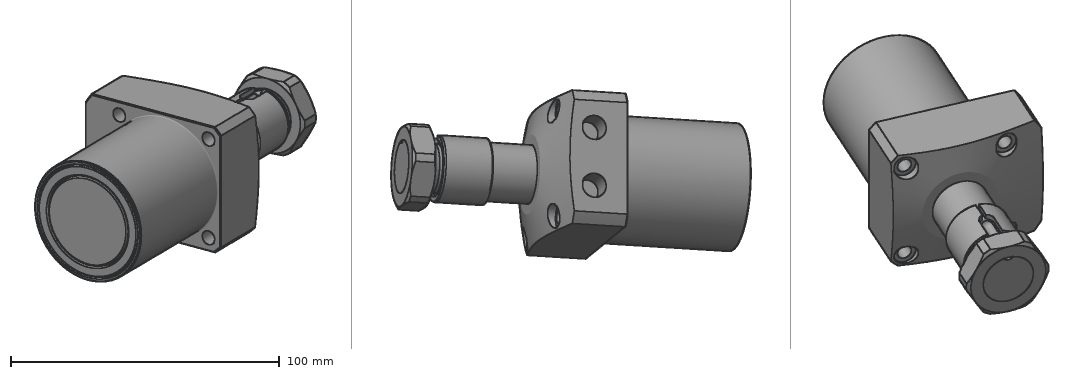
import cadquery as cq
import math


REAR_END = -50.8
FLANGE_TOP = 28.4
SLEEVE_START = 45.7
SLEEVE_END = 64.8
NUT_START = 68.6
NUT_END = REAR_END + 128.5

FLANGE_LEFT = 35.5
FLANGE_RIGHT = 25.6
FLANGE_HEIGHT = 51.0
FLANGE_EDGE_CHAMFER = 0.4
LEFT_CORNER_RADIUS = 41.4
RIGHT_CORNER_CHAMFER = 2.8
TOP_FLAT_RADIUS = 15.0
TOP_CONE_ANGLE = 16.0
BOLT_OFFSET = 20.0
BOLT_HOLE_DIAMETER = 5.5
COUNTERBORE_DIAMETER = 9.0
COUNTERBORE_FLOOR = 22.6
PORT_MOUTH_DIAMETER = 9.1
PORT_INNER_DIAMETER = 8.5
PORT_DEPTH = 10.3
PORT_Y = 13.1
PORT_OFFSET = 11.0

BARREL_DIAMETER = 47.9
BARREL_FILLET = 0.4
BARREL_CHAMFER = 0.4
CAP_RADIUS = 22.2
CAP_THICKNESS = 10.3
CAP_CHAMFER = 0.5
CAP_GROOVE_RADIUS = 17.9
CAP_GROOVE_WIDTH = 1.3
CAP_GROOVE_DEPTH = 0.5

ROD_RADIUS = 11.0
SEAT_RADIUS = 10.5
ROD_CHAMFER = 0.6
SHOULDER_Y = 64.1
NECK_RADIUS = 9.1
NECK_TAPER_START = 65.5
THREAD_RADIUS = 10.0
THREAD_START = 68.1
GROOVE_RADIUS = 2.2
GROOVE_END_Y = 56.2

SLEEVE_RADIUS = 12.6
SLEEVE_CHAMFER_LENGTH = 0.8
SLEEVE_CHAMFER_DEPTH = 0.3
SLEEVE_LIP_LENGTH = 0.4
SLEEVE_LIP_DEPTH = 0.1
SLOT_RADIUS = 3.0
SLOT_END_Y = 55.8
SLIT_WIDTH = 1.3

NUT_ACROSS_FLATS = 30.0
NUT_CORNER_RADIUS = 16.5
NUT_CHAMFER_ANGLE = 30.0
NUT_COUNTERSINK = 0.8


def revolve_about_y(points):
    """Turn a closed (radius, y) outline into a solid about the Y axis."""
    return cq.Workplane("XY").polyline(points).close().revolve(360, (0, 0, 0), (0, 1, 0))


def cylinder_along_y(radius, start, end, x=0.0, z=0.0):
    """Cylinder parallel to Y between two stations."""
    return cq.Workplane(cq.Solid.makeCylinder(radius, end - start, cq.Vector(x, start, z), cq.Vector(0, 1, 0)))


def make_flange():
    """Flange block with a chamfered rear edge, turned left corners and a conical top."""
    half_height = FLANGE_HEIGHT / 2
    width = FLANGE_LEFT + FLANGE_RIGHT
    middle = (FLANGE_RIGHT - FLANGE_LEFT) / 2
    block = cq.Workplane("XY").box(width, FLANGE_TOP, FLANGE_HEIGHT).translate((middle, FLANGE_TOP / 2, 0))
    block = block.edges("|Y and >X").chamfer(RIGHT_CORNER_CHAMFER)
    block = block.intersect(cylinder_along_y(LEFT_CORNER_RADIUS, 0, FLANGE_TOP))
    block = block.faces("<Y").edges().chamfer(FLANGE_EDGE_CHAMFER)
    outer = math.hypot(FLANGE_LEFT, half_height)
    drop = (outer - TOP_FLAT_RADIUS) * math.tan(math.radians(TOP_CONE_ANGLE))
    cone = revolve_about_y([
        (0, 0),
        (outer, 0),
        (outer, FLANGE_TOP - drop),
        (TOP_FLAT_RADIUS, FLANGE_TOP),
        (0, FLANGE_TOP),
    ])
    return block.intersect(cone)


def make_housing():
    """Flange and barrel in one piece, bored for the rod and the end cap."""
    housing = make_flange()
    barrel_radius = BARREL_DIAMETER / 2
    barrel = (
        cq.Workplane("XY")
        .moveTo(0, REAR_END)
        .lineTo(barrel_radius - BARREL_CHAMFER, REAR_END)
        .lineTo(barrel_radius, REAR_END + BARREL_CHAMFER)
        .lineTo(barrel_radius, -BARREL_FILLET)
        .radiusArc((barrel_radius + BARREL_FILLET, 0), BARREL_FILLET)
        .lineTo(0, 0)
        .close()
        .revolve(360, (0, 0, 0), (0, 1, 0))
    )
    housing = housing.union(barrel)
    for x in (-BOLT_OFFSET, BOLT_OFFSET):
        for z in (-BOLT_OFFSET, BOLT_OFFSET):
            housing = housing.cut(cylinder_along_y(BOLT_HOLE_DIAMETER / 2, 0, FLANGE_TOP, x, z))
            housing = housing.cut(
                cylinder_along_y(COUNTERBORE_DIAMETER / 2, COUNTERBORE_FLOOR, FLANGE_TOP, x, z)
            )
    for z in (-PORT_OFFSET, PORT_OFFSET):
        port = cq.Solid.makeCone(
            PORT_MOUTH_DIAMETER / 2,
            PORT_INNER_DIAMETER / 2,
            PORT_DEPTH,
            cq.Vector(-FLANGE_LEFT, PORT_Y, z),
            cq.Vector(1, 0, 0),
        )
        housing = housing.cut(cq.Workplane(port))
    housing = housing.cut(cylinder_along_y(ROD_RADIUS, REAR_END, FLANGE_TOP))
    mouth = CAP_RADIUS + CAP_CHAMFER
    cap_seat = revolve_about_y([
        (0, REAR_END),
        (mouth, REAR_END),
        (CAP_RADIUS, REAR_END + CAP_CHAMFER),
        (CAP_RADIUS, REAR_END + CAP_THICKNESS),
        (0, REAR_END + CAP_THICKNESS),
    ])
    return housing.cut(cap_seat)


def make_end_cap():
    """Round plug closing the barrel, with a V-groove in its outer face."""
    cap = cylinder_along_y(CAP_RADIUS, REAR_END, REAR_END + CAP_THICKNESS)
    cap = cap.faces("<Y").chamfer(CAP_CHAMFER)
    groove = revolve_about_y([
        (CAP_GROOVE_RADIUS - CAP_GROOVE_WIDTH / 2, REAR_END),
        (CAP_GROOVE_RADIUS + CAP_GROOVE_WIDTH / 2, REAR_END),
        (CAP_GROOVE_RADIUS, REAR_END + CAP_GROOVE_DEPTH),
    ])
    return cap.cut(groove)


def make_rod():
    """Rod with a necked end and a ball-ended groove along its top."""
    rod = revolve_about_y([
        (0, REAR_END + CAP_THICKNESS),
        (ROD_RADIUS, REAR_END + CAP_THICKNESS),
        (ROD_RADIUS, SLEEVE_START),
        (SEAT_RADIUS, SLEEVE_START),
        (SEAT_RADIUS, SHOULDER_Y - ROD_CHAMFER),
        (SEAT_RADIUS - ROD_CHAMFER, SHOULDER_Y),
        (NECK_RADIUS, SHOULDER_Y),
        (NECK_RADIUS, NECK_TAPER_START),
        (THREAD_RADIUS, THREAD_START),
        (THREAD_RADIUS, NUT_END),
        (0, NUT_END),
    ])
    groove = cylinder_along_y(GROOVE_RADIUS, GROOVE_END_Y, NUT_END, z=ROD_RADIUS)
    ball_end = cq.Workplane("XY").sphere(GROOVE_RADIUS).translate((0, GROOVE_END_Y, ROD_RADIUS))
    return rod.cut(groove).cut(ball_end)


def make_sleeve():
    """Ring around the rod, split along its top by a slit and a round-ended slot."""
    sleeve = revolve_about_y([
        (SEAT_RADIUS, SLEEVE_START),
        (SLEEVE_RADIUS - SLEEVE_LIP_DEPTH, SLEEVE_START),
        (SLEEVE_RADIUS, SLEEVE_START + SLEEVE_LIP_LENGTH),
        (SLEEVE_RADIUS, SLEEVE_END - SLEEVE_CHAMFER_LENGTH),
        (SLEEVE_RADIUS - SLEEVE_CHAMFER_DEPTH, SLEEVE_END),
        (SEAT_RADIUS, SLEEVE_END),
    ])
    length = SLEEVE_END - SLEEVE_START
    slit = cq.Workplane("XY").box(SLIT_WIDTH, length, SLEEVE_RADIUS, centered=(True, False, False))
    slot_length = SLEEVE_END - SLOT_END_Y
    slot = cq.Workplane("XY").box(2 * SLOT_RADIUS, slot_length, SLEEVE_RADIUS, centered=(True, False, False))
    slot_end = cq.Workplane("XY").circle(SLOT_RADIUS).extrude(SLEEVE_RADIUS)
    sleeve = sleeve.cut(slit.translate((0, SLEEVE_START, 0)))
    return sleeve.cut(slot.union(slot_end).translate((0, SLOT_END_Y, 0)))


def make_nut():
    """Hexagon nut with rounded corners, chamfered at both ends, flats facing up and down."""
    length = NUT_END - NUT_START
    across_corners = NUT_ACROSS_FLATS / math.cos(math.radians(30))
    hexagon = cq.Workplane("XZ", origin=(0, NUT_END, 0)).polygon(6, across_corners).extrude(length)
    face_radius = NUT_ACROSS_FLATS / 2
    chamfer = (NUT_CORNER_RADIUS - face_radius) * math.tan(math.radians(NUT_CHAMFER_ANGLE))
    turned = revolve_about_y([
        (0, NUT_START),
        (face_radius, NUT_START),
        (NUT_CORNER_RADIUS, NUT_START + chamfer),
        (NUT_CORNER_RADIUS, NUT_END - chamfer),
        (face_radius, NUT_END),
        (0, NUT_END),
    ])
    countersink = revolve_about_y([
        (0, NUT_START),
        (THREAD_RADIUS + NUT_COUNTERSINK, NUT_START),
        (THREAD_RADIUS, NUT_START + NUT_COUNTERSINK),
        (0, NUT_START + NUT_COUNTERSINK),
    ])
    bore = cylinder_along_y(THREAD_RADIUS, NUT_START, NUT_END)
    return hexagon.intersect(turned).cut(bore).cut(countersink)


housing = make_housing()
end_cap = make_end_cap()
rod = make_rod()
sleeve = make_sleeve()
nut = make_nut()

result = cq.Compound.makeCompound([housing.val(), end_cap.val(), rod.val(), sleeve.val(), nut.val()])